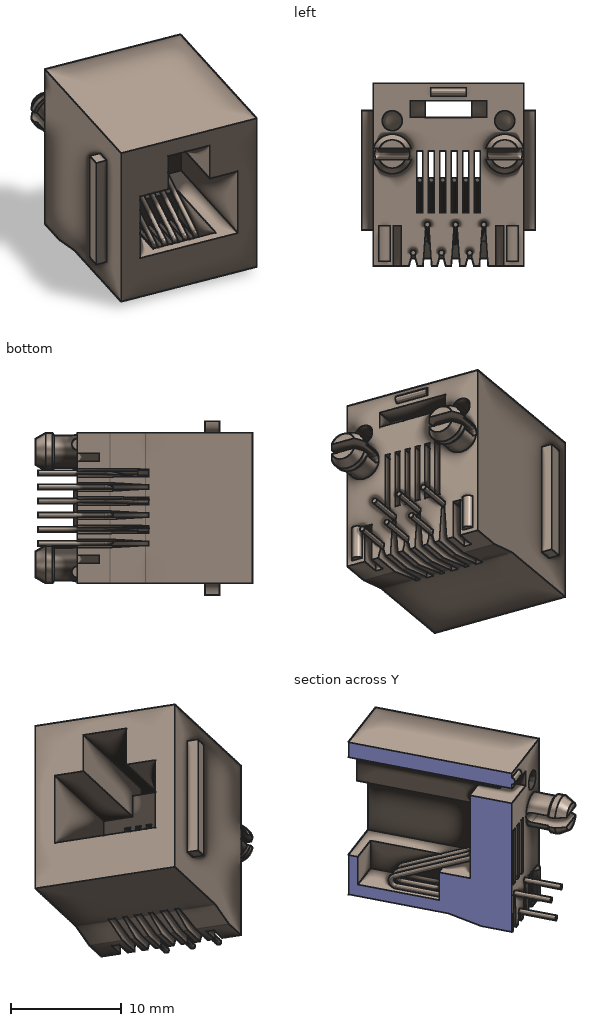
import cadquery as cq
import math


overall_length = 19.6
overall_width = 15.7
overall_height = 16.5

body_length = 15.84
body_width = 13.6
raised_floor_z = 0.67
slope_start_x = 2.95
slope_end_x = 6.15

rail_start_x = 11.52
rail_length = 1.33
rail_bottom_z = 3.23
rail_height = 10.82

peg_spacing = 10.15
peg_z = 10.11
peg_diameter = 3.15
peg_collar_diameter = 3.57
peg_tip_diameter = 2.55
peg_length = overall_length - body_length
peg_nose_length = 0.92
peg_collar_end = 1.53
peg_collar_taper = 0.15
peg_slot_height = 1.0

top_pad_length = 3.2
top_pad_height = 0.75
top_pad_rise = 0.31
top_pad_z = 15.7
foot_pad_width = 1.04
foot_pad_rise = 0.47
foot_pad_bottom_z = 0.45
foot_pad_top_z = 3.63
foot_pad_y = 5.76

recess_depth = 2.0
round_hole_diameter = 1.8
round_hole_z = 13.11
groove_width = 0.73
groove_y = 4.6

rear_wall = 4.08
port_width = 9.8
port_bottom_z = 4.8
port_top_z = 11.37
window_width = 4.2
window_bottom_z = 13.4
window_top_z = 14.9
window_pocket_width = 6.86

well_start_x = 7.05
well_end_x = 14.9
well_width = 6.27
well_floor_z = 1.92

contact_count = 6
wire_diameter = 0.49
wire_bend_radius = 0.5
pin_pitch = 1.27
pin_length = 3.55
upper_pin_z = 3.75
lower_pin_z = 1.2
straight_end_x = 2.55
lead_end_x = 5.3
contact_pitch = 1.04
wire_clearance = 0.02
run_z = well_floor_z + wire_diameter / 2 + wire_clearance
run_end_x = 13.72
spring_tip_x = 1.57
spring_tip_z = 7.76

spring_slot_width = wire_diameter + wire_clearance
spring_slot_top_z = 10.37
notch_mouth_width = 0.76
upper_notch_neck_width = 0.25
lower_notch_neck_width = 0.4
notch_step_z = 2.23
notch_upper_depth = 5.49
notch_lower_depth = 6.47


def centred_box(x_start, x_end, y_centre, width, z_bottom, z_top):
    """Box spanning the given X and Z limits, centred on y_centre."""
    return cq.Workplane("XY").box(
        x_end - x_start, width, z_top - z_bottom, centered=(False, True, False)
    ).translate((x_start, y_centre, z_bottom))


def contact_y(index, pitch):
    """Y of a contact when the row is spread at the given pitch about Y = 0."""
    return (index - (contact_count - 1) / 2) * pitch


def is_upper(index):
    """Contacts alternate between the upper and lower pin rows."""
    return index % 2 == 0


def pin_z(index):
    return upper_pin_z if is_upper(index) else lower_pin_z


def body_block():
    return (
        cq.Workplane("XZ")
        .moveTo(0, 0)
        .lineTo(slope_start_x, 0)
        .lineTo(slope_end_x, raised_floor_z)
        .lineTo(body_length, raised_floor_z)
        .lineTo(body_length, overall_height)
        .lineTo(0, overall_height)
        .close()
        .extrude(body_width / 2, both=True)
    )


def side_rails():
    """Bar through the block whose two ends form the side rails."""
    return centred_box(rail_start_x, rail_start_x + rail_length, 0, overall_width,
                       rail_bottom_z, rail_bottom_z + rail_height)


def snap_peg(y):
    """Peg with a conical nose and a collar, split by a round-ended slot."""
    collar_radius = peg_collar_diameter / 2
    peg_radius = peg_diameter / 2
    nose_end = peg_nose_length - peg_length
    collar_end = peg_collar_end - peg_length
    peg = (
        cq.Workplane("XY")
        .moveTo(0, 0)
        .lineTo(0, peg_radius)
        .lineTo(collar_end + peg_collar_taper, peg_radius)
        .lineTo(collar_end, collar_radius)
        .lineTo(nose_end, collar_radius)
        .lineTo(-peg_length, peg_tip_diameter / 2)
        .lineTo(-peg_length, 0)
        .close()
        .revolve(360, (0, 0, 0), (1, 0, 0))
    )
    slot_radius = peg_slot_height / 2
    slot = (
        cq.Workplane("XZ")
        .moveTo(-peg_length, -slot_radius)
        .lineTo(-slot_radius, -slot_radius)
        .threePointArc((0, 0), (-slot_radius, slot_radius))
        .lineTo(-peg_length, slot_radius)
        .close()
        .extrude(peg_collar_diameter, both=True)
    )
    return peg.cut(slot).translate((0, y, peg_z))


def top_pad():
    half_height = top_pad_height / 2
    return (
        cq.Workplane("XZ")
        .moveTo(0, top_pad_z - half_height)
        .threePointArc((-top_pad_rise, top_pad_z), (0, top_pad_z + half_height))
        .close()
        .extrude(top_pad_length / 2, both=True)
    )


def foot_pad(y):
    half_width = foot_pad_width / 2
    return (
        cq.Workplane("XY", origin=(0, y, foot_pad_bottom_z))
        .moveTo(0, -half_width)
        .threePointArc((-foot_pad_rise, 0), (0, half_width))
        .close()
        .extrude(foot_pad_top_z - foot_pad_bottom_z)
    )


def round_hole(y):
    return (
        cq.Workplane("YZ", origin=(0, y, round_hole_z))
        .circle(round_hole_diameter / 2)
        .extrude(recess_depth)
    )


def foot_groove(y):
    return centred_box(0, recess_depth, y, groove_width, 0, foot_pad_top_z)


def plug_port():
    port = centred_box(rear_wall, body_length, 0, port_width, port_bottom_z, port_top_z)
    latch_channel = centred_box(rear_wall, body_length, 0, window_width, port_top_z, window_top_z)
    well = centred_box(well_start_x, well_end_x, 0, well_width, well_floor_z, port_bottom_z)
    return port.union(latch_channel).union(well)


def latch_window():
    opening = centred_box(0, rear_wall, 0, window_width, window_bottom_z, window_top_z)
    pocket = centred_box(0, recess_depth, 0, window_pocket_width, window_bottom_z, window_top_z)
    return opening.union(pocket)


def spring_slot(index):
    return centred_box(0, rear_wall, contact_y(index, contact_pitch), spring_slot_width,
                       port_bottom_z, spring_slot_top_z)


def pin_notch(index):
    """Tapered notch from the underside up to a pin; upper notches are shallower above a step."""
    if is_upper(index):
        half_neck = upper_notch_neck_width / 2
        taper_top_z = upper_pin_z
    else:
        half_neck = lower_notch_neck_width / 2
        taper_top_z = raised_floor_z
    half_mouth = notch_mouth_width / 2
    y = contact_y(index, pin_pitch)
    taper = (
        cq.Workplane("YZ", origin=(0, y, 0))
        .moveTo(-half_mouth, 0)
        .lineTo(half_mouth, 0)
        .lineTo(half_neck, taper_top_z)
        .lineTo(-half_neck, taper_top_z)
        .close()
        .extrude(notch_lower_depth)
    )
    if not is_upper(index):
        neck = centred_box(0, notch_lower_depth, y, lower_notch_neck_width, taper_top_z, lower_pin_z)
        return taper.union(neck)
    step = centred_box(notch_upper_depth, notch_lower_depth, y, notch_mouth_width,
                       notch_step_z, upper_pin_z)
    return taper.cut(step)


def bend_arc(before, corner, after):
    """Tangent arc that rounds a corner of the wire centre line, as (start, middle, end)."""
    back = (before - corner).normalized()
    ahead = (after - corner).normalized()
    half_angle = back.getAngle(ahead) / 2
    trim = wire_bend_radius / math.tan(half_angle)
    arc_gap = wire_bend_radius / math.sin(half_angle) - wire_bend_radius
    middle = corner + (back + ahead).normalized() * arc_gap
    return corner + back * trim, middle, corner + ahead * trim


def wire_path(corners):
    """Polyline through the corners with every inner corner rounded."""
    edges = []
    leg_start = corners[0]
    for before, corner, after in zip(corners, corners[1:], corners[2:]):
        start, middle, end = bend_arc(before, corner, after)
        edges.append(cq.Edge.makeLine(leg_start, start))
        edges.append(cq.Edge.makeThreePointArc(start, middle, end))
        leg_start = end
    edges.append(cq.Edge.makeLine(leg_start, corners[-1]))
    return cq.Wire.assembleEdges(edges)


def make_contact(index):
    """Wire with a straight pin, a slanted lead to the well, and a spring folded back up."""
    pin_y = contact_y(index, pin_pitch)
    spring_y = contact_y(index, contact_pitch)
    corners = [
        cq.Vector(-pin_length, pin_y, pin_z(index)),
        cq.Vector(straight_end_x, pin_y, pin_z(index)),
        cq.Vector(lead_end_x, spring_y, run_z),
        cq.Vector(run_end_x, spring_y, run_z),
        cq.Vector(spring_tip_x, spring_y, spring_tip_z),
    ]
    section = cq.Workplane("YZ", origin=corners[0].toTuple()).circle(wire_diameter / 2)
    return section.sweep(cq.Workplane("XY").add(wire_path(corners)))


def make_housing(contacts):
    housing = body_block().union(side_rails()).union(top_pad())
    for side in (-1, 1):
        housing = housing.union(snap_peg(side * peg_spacing / 2))
        housing = housing.union(foot_pad(side * foot_pad_y))
        housing = housing.cut(round_hole(side * peg_spacing / 2))
        housing = housing.cut(foot_groove(side * groove_y))
    housing = housing.cut(plug_port()).cut(latch_window())
    for index in range(contact_count):
        housing = housing.cut(spring_slot(index)).cut(pin_notch(index))
    for contact in contacts:
        housing = housing.cut(contact)
    return housing


contacts = [make_contact(index) for index in range(contact_count)]
housing = make_housing(contacts)

result = cq.Compound.makeCompound([housing.val(), *[contact.val() for contact in contacts]])